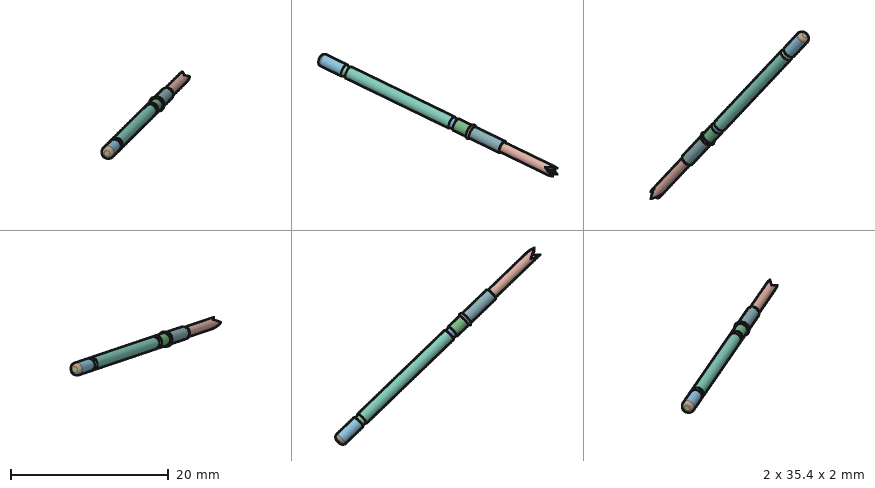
import cadquery as cq
import math

length = 35.4

barrel_radius = 0.832
barrel_end = 27.35
tail_round = 0.45

collar_radius = 1.0
collar_bead_radius = 0.23
collar_position = 22.65

groove_width = 0.65
groove_depth = 0.125
groove_positions = (3.93, 20.1)

plunger_radius = 0.69
tooth_count = 3
crown_depth = 1.4


def cylinder(radius, start, end):
    """Cylinder on the Y axis between two Y positions."""
    return cq.Workplane("XZ", origin=(0, start, 0)).circle(radius).extrude(start - end)


def make_barrel():
    return cylinder(barrel_radius, 0, barrel_end).faces("<Y").edges().fillet(tail_round)


def make_collar():
    """Circular bead revolved around the pin axis, filled to the centre."""
    bead_centre = collar_radius - collar_bead_radius
    low = collar_position - collar_bead_radius
    high = collar_position + collar_bead_radius
    return (
        cq.Workplane("XY")
        .moveTo(0, low)
        .lineTo(bead_centre, low)
        .threePointArc((collar_radius, collar_position), (bead_centre, high))
        .lineTo(0, high)
        .close()
        .revolve(360, (0, 0, 0), (0, 1, 0))
    )


def make_groove(position):
    """Ring with an arc-shaped section that cuts one crimp groove."""
    half_width = groove_width / 2
    return (
        cq.Workplane("XY")
        .moveTo(collar_radius, position - half_width)
        .lineTo(barrel_radius, position - half_width)
        .threePointArc((barrel_radius - groove_depth, position), (barrel_radius, position + half_width))
        .lineTo(collar_radius, position + half_width)
        .close()
        .revolve(360, (0, 0, 0), (0, 1, 0))
    )


def make_notch(angle):
    """V-shaped cutter whose bottom line falls outward, from one tip to the rim opposite it."""
    reach = 2 * plunger_radius
    centre_depth = crown_depth / 2
    fall = centre_depth / plunger_radius
    half_tooth_angle = math.pi / tooth_count
    tip_rise = centre_depth * (1 + math.cos(half_tooth_angle))
    wall_slope = tip_rise / (plunger_radius * math.sin(half_tooth_angle))
    half_width = reach * (1 + fall)
    inner_bottom = length - centre_depth + reach * fall
    wall_height = half_width * wall_slope
    slope_direction = cq.Vector(2 * reach, -2 * reach * fall, 0)
    section = cq.Wire.makePolygon(
        [
            cq.Vector(-reach, inner_bottom, 0),
            cq.Vector(-reach, inner_bottom + wall_height, half_width),
            cq.Vector(-reach, inner_bottom + wall_height, -half_width),
        ],
        close=True,
    )
    wedge = cq.Solid.extrudeLinear(section, [], slope_direction)
    return cq.Workplane(wedge).rotate((0, 0, 0), (0, 1, 0), angle)


def make_plunger():
    plunger = cylinder(plunger_radius, barrel_end, length)
    for index in range(tooth_count):
        plunger = plunger.cut(make_notch(180 + index * 360 / tooth_count))
    return plunger


body = make_barrel().union(make_collar())
for groove_position in groove_positions:
    body = body.cut(make_groove(groove_position))

result = body.union(make_plunger())